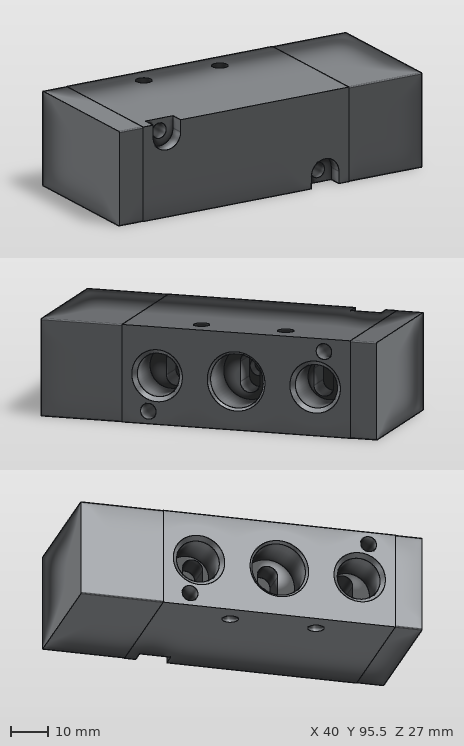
import cadquery as cq

WIDTH = 40.0
HEIGHT = 27.0
BODY_LENGTH = 65.0
LONG_CAP_LENGTH = 23.0
SHORT_CAP_LENGTH = 7.5
CAP_EDGE_RADIUS = 0.3

PORT_DEPTH = 12.0
PORT_SPACING = 22.5
END_PORT_DIAMETER = 12.0
END_PORT_MOUTH_DIAMETER = 14.4
END_PORT_COUNTERSINK_DEPTH = 1.1
MIDDLE_PORT_DIAMETER = 15.0
MIDDLE_PORT_MOUTH_DIAMETER = 16.4
MIDDLE_PORT_COUNTERSINK_DEPTH = 0.7

SLOT_WIDTH = 5.6
SLOT_END_DEPTH = WIDTH / 2
END_SLOT_HEIGHT = 10.3
END_SLOT_SPACING = 21.0
MIDDLE_SLOT_HEIGHT = 11.2
PILOT_DIAMETER = 5.3
PILOT_LENGTH_PAST_SLOT = 4.0
PILOT_END_DEPTH = SLOT_END_DEPTH + PILOT_LENGTH_PAST_SLOT

MOUNT_DIAMETER = 4.4
VERTICAL_MOUNT_SPACING = 24.0
VERTICAL_MOUNT_INSET = 6.5
CROSS_MOUNT_Y = 25.0
CROSS_MOUNT_Z = 10.0

NOTCH_WIDTH = 8.7
NOTCH_DEPTH = 4.0


def side_plane(y, z=0.0):
    """Sketch plane on the -X face: local x runs along Y, local y along Z, normal into the body."""
    return cq.Workplane(cq.Plane(origin=(-WIDTH / 2, y, z), xDir=(0, 1, 0), normal=(1, 0, 0)))


def port(y, diameter, mouth_diameter, countersink_depth):
    """Round blind port with a conical mouth."""
    bore = side_plane(y).circle(diameter / 2).extrude(PORT_DEPTH)
    mouth = cq.Solid.makeCone(
        mouth_diameter / 2,
        diameter / 2,
        countersink_depth,
        pnt=cq.Vector(-WIDTH / 2, y, 0),
        dir=cq.Vector(1, 0, 0),
    )
    return bore.union(cq.Workplane(mouth))


def flow_slot(y, height):
    """Upright round-ended slot, deeper than the port it opens into."""
    return side_plane(y).slot2D(height, SLOT_WIDTH, 90).extrude(SLOT_END_DEPTH)


def screw_notch(side):
    """U-shaped recess around a cross hole, open to the top (side = 1) or bottom (side = -1)."""
    y = -side * CROSS_MOUNT_Y
    z = side * CROSS_MOUNT_Z
    edge_height = HEIGHT / 2 - CROSS_MOUNT_Z
    seat = side_plane(y, z).workplane(offset=WIDTH - NOTCH_DEPTH)
    round_end = seat.circle(NOTCH_WIDTH / 2).extrude(NOTCH_DEPTH)
    opening = seat.center(0, side * edge_height / 2).rect(NOTCH_WIDTH, edge_height).extrude(NOTCH_DEPTH)
    return round_end.union(opening)


def make_valve_body():
    body = cq.Workplane("XY").box(WIDTH, BODY_LENGTH, HEIGHT)

    body = body.cut(
        port(0, MIDDLE_PORT_DIAMETER, MIDDLE_PORT_MOUTH_DIAMETER, MIDDLE_PORT_COUNTERSINK_DEPTH)
    )
    body = body.cut(flow_slot(0, MIDDLE_SLOT_HEIGHT))
    body = body.cut(side_plane(0).circle(PILOT_DIAMETER / 2).extrude(PILOT_END_DEPTH))

    for side in (-1, 1):
        body = body.cut(
            port(
                side * PORT_SPACING,
                END_PORT_DIAMETER,
                END_PORT_MOUTH_DIAMETER,
                END_PORT_COUNTERSINK_DEPTH,
            )
        )
        body = body.cut(flow_slot(side * END_SLOT_SPACING, END_SLOT_HEIGHT))

        cross_hole = side_plane(-side * CROSS_MOUNT_Y, side * CROSS_MOUNT_Z)
        body = body.cut(cross_hole.circle(MOUNT_DIAMETER / 2).extrude(WIDTH))
        body = body.cut(screw_notch(side))

        vertical_hole = (
            cq.Workplane("XY", origin=(0, 0, -HEIGHT / 2))
            .center(-WIDTH / 2 + VERTICAL_MOUNT_INSET, side * VERTICAL_MOUNT_SPACING / 2)
            .circle(MOUNT_DIAMETER / 2)
            .extrude(HEIGHT)
        )
        body = body.cut(vertical_hole)
    return body


def make_end_cap(length, side):
    """Plain block on the +Y (side = 1) or -Y (side = -1) end, its lengthwise edges rounded."""
    centre_y = side * (BODY_LENGTH + length) / 2
    block = cq.Workplane("XY").box(WIDTH, length, HEIGHT).edges("|Y").fillet(CAP_EDGE_RADIUS)
    return block.translate((0, centre_y, 0))


valve_body = make_valve_body()
long_cap = make_end_cap(LONG_CAP_LENGTH, 1)
short_cap = make_end_cap(SHORT_CAP_LENGTH, -1)

result = cq.Compound.makeCompound([valve_body.val(), long_cap.val(), short_cap.val()])